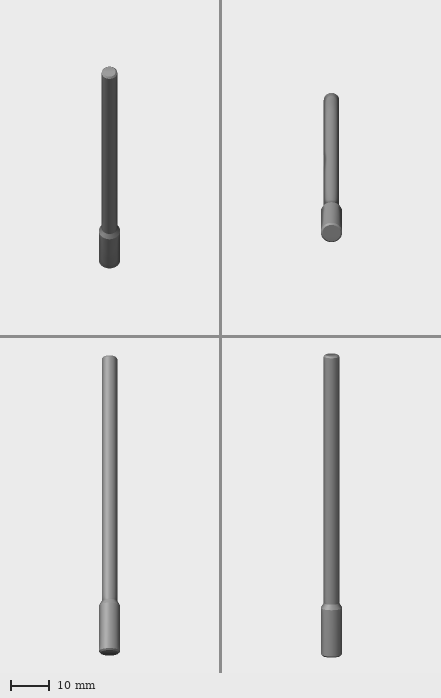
import cadquery as cq

total_length = 80.0
rod_diameter = 4.0
shank_diameter = 5.5
shank_length = 14.0
taper_height = 1.3
rod_chamfer = 0.4
shank_chamfer = 0.4

rod_radius = rod_diameter / 2
shank_radius = shank_diameter / 2
rod_length = total_length - shank_length
taper_start = shank_length - taper_height


def make_shank():
    """Turned shank: chamfered foot, cylinder, and a cone narrowing to the rod diameter."""
    return (
        cq.Workplane("XZ")
        .lineTo(shank_radius - shank_chamfer, 0)
        .lineTo(shank_radius, shank_chamfer)
        .lineTo(shank_radius, taper_start)
        .lineTo(rod_radius, shank_length)
        .lineTo(0, shank_length)
        .close()
        .revolve(360, (0, 0, 0), (0, 1, 0))
    )


def make_rod():
    """Slim rod standing on the end face of the shank, chamfered at its free end."""
    return (
        cq.Workplane("XY")
        .workplane(offset=shank_length)
        .circle(rod_radius)
        .extrude(rod_length)
        .faces(">Z")
        .chamfer(rod_chamfer)
    )


shank = make_shank()
rod = make_rod()

result = cq.Compound.makeCompound([shank.val(), rod.val()])